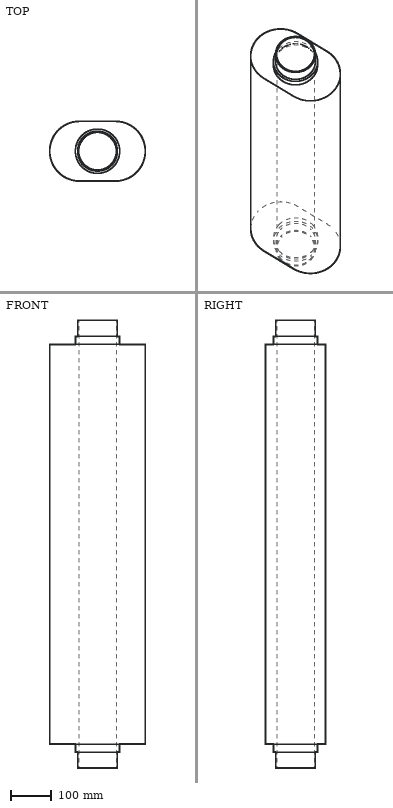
import cadquery as cq

total_length = 1120.0
body_width = 240.0
body_depth = 150.0

collar_diameter = 111.0
collar_length = 20.0
pipe_diameter = 100.0
pipe_length = 40.0
bore_diameter = 94.0

stub_length = collar_length + pipe_length
body_length = total_length - 2 * stub_length


def cylinder(diameter, length):
    """Cylinder along Z, centred on the origin."""
    return cq.Workplane("XY").circle(diameter / 2).extrude(length / 2, both=True)


body = cq.Workplane("XY").slot2D(body_width, body_depth).extrude(body_length / 2, both=True)

collars = cylinder(collar_diameter, body_length + 2 * collar_length)
pipes = cylinder(pipe_diameter, total_length)

bore = cylinder(bore_diameter, total_length)

result = body.union(collars).union(pipes).cut(bore)